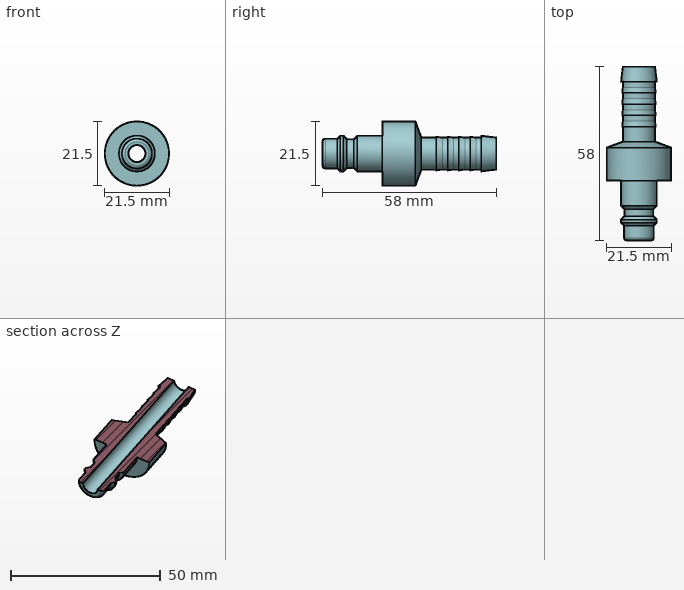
import cadquery as cq

total_length = 58.0
bore_diameter = 5.6

tip_radius = 5.0
tip_round = 1.0
plug_radius = 6.0
neck_radius = 4.85
bead_start = 5.0
bead_flat_start = bead_start + (plug_radius - tip_radius)
bead_flat_end = 7.0
bead_end = bead_flat_end + (plug_radius - neck_radius)
shoulder_start = 10.5
shoulder_end = shoulder_start + (plug_radius - neck_radius)

collar_radius = 21.5 / 2
collar_start = 20.0
collar_length = 11.0
collar_cone_length = 2.0
collar_end = collar_start + collar_length
cone_end = collar_end + collar_cone_length

stem_radius = 5.4
barb_radius = 5.65
barb_length = 1.875
barb_pitch = 3.75
barb_count = 4
first_barb_start = 38.0
end_barb_start = first_barb_start + barb_count * barb_pitch
end_barb_radius = 6.0


def plug_and_collar_points():
    """(radius, Y) outline from the rounded tip to the hose stem."""
    return [
        (tip_radius, bead_start),
        (plug_radius, bead_flat_start),
        (plug_radius, bead_flat_end),
        (neck_radius, bead_end),
        (neck_radius, shoulder_start),
        (plug_radius, shoulder_end),
        (plug_radius, collar_start),
        (collar_radius, collar_start),
        (collar_radius, collar_end),
        (stem_radius, cone_end),
    ]


def barb_points(start, length, crest_radius):
    """(radius, Y) outline of a barb that steps up and tapers back to the stem."""
    return [
        (stem_radius, start),
        (crest_radius, start),
        (stem_radius, start + length),
    ]


def outline_points():
    points = plug_and_collar_points()
    for index in range(barb_count):
        start = first_barb_start + index * barb_pitch
        points += barb_points(start, barb_length, barb_radius)
    end_barb_length = total_length - end_barb_start
    points += barb_points(end_barb_start, end_barb_length, end_barb_radius)
    return points


def make_body():
    profile = cq.Workplane("XY").moveTo(0, 0).lineTo(tip_radius - tip_round, 0)
    profile = profile.radiusArc((tip_radius, tip_round), -tip_round)
    for radius, y in outline_points():
        profile = profile.lineTo(radius, y)
    profile = profile.lineTo(0, total_length).close()
    return profile.revolve(360, (0, 0, 0), (0, 1, 0))


def make_bore():
    """Straight passage through the full length."""
    return cq.Workplane("XZ").circle(bore_diameter / 2).extrude(-total_length)


result = make_body().cut(make_bore())